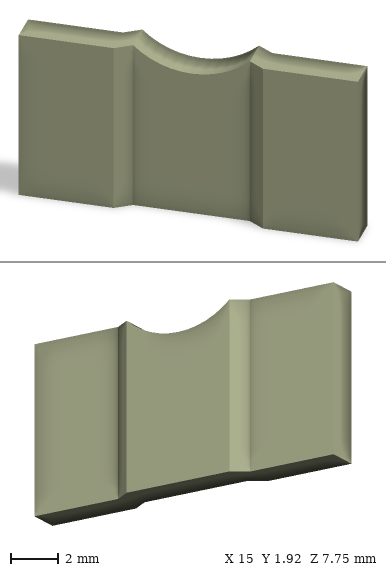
import cadquery as cq

length = 15.0
height = 7.75
depth = 1.92
thickness = 1.44

tab_length = 4.2
centre_width = 5.16
step = depth - thickness

notch_depth = 0.99

half_length = length / 2
bend_x = half_length - tab_length
joint_x = centre_width / 2
tab_front = 0.0
centre_front = tab_front + step


def make_terminal(side):
    """End terminal with a flat tab and a sloped neck; side is -1 (left) or 1 (right)."""
    outline = [
        (side * half_length, tab_front),
        (side * bend_x, tab_front),
        (side * joint_x, centre_front),
        (side * joint_x, centre_front + thickness),
        (side * bend_x, tab_front + thickness),
        (side * half_length, tab_front + thickness),
    ]
    return cq.Workplane("XY").polyline(outline).close().extrude(height)


def make_element():
    """Centre plate with a shallow round notch across its top edge."""
    return (
        cq.Workplane("XZ", origin=(0, centre_front, 0))
        .moveTo(-joint_x, 0)
        .lineTo(joint_x, 0)
        .lineTo(joint_x, height)
        .threePointArc((0, height - notch_depth), (-joint_x, height))
        .close()
        .extrude(-thickness)
    )


terminals = [make_terminal(side) for side in (-1, 1)]
element = make_element()

result = cq.Compound.makeCompound([element.val(), *[terminal.val() for terminal in terminals]])